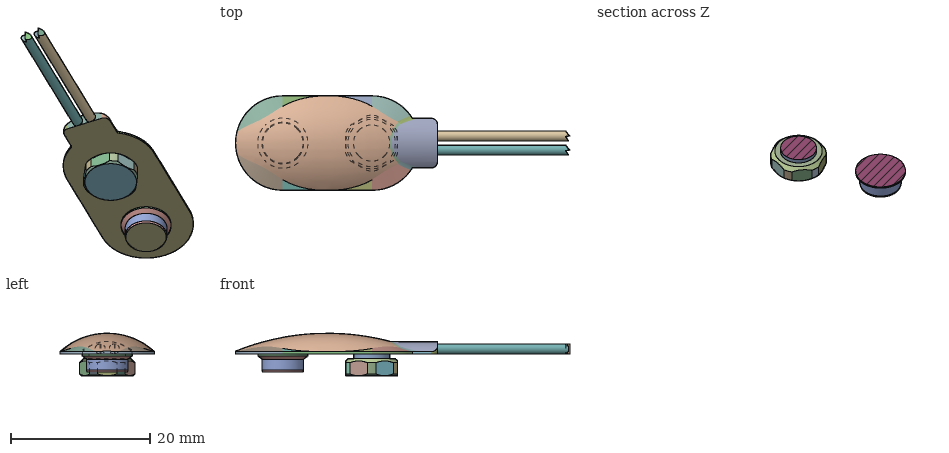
import cadquery as cq
import math

OVERALL_LENGTH = 48.01
OVERALL_HEIGHT = 6.15

PAD_WIDTH = 13.59
PAD_LENGTH = 26.4
END_RADIUS = PAD_WIDTH / 2
END_CENTER_X = PAD_LENGTH / 2 - END_RADIUS
RIM_HEIGHT = 0.33
SKIRT_SLOPE = 17.0
SKIRT_HEIGHT = 1.35
DOME_HEIGHT = 3.0
DOME_CROSS_RADIUS = 10.0
DOME_LENGTH_RADIUS = 35.0

BOOT_END_X = 15.8
BOOT_WIDTH = 7.14
BOOT_HEIGHT = 1.8
BOOT_CORNER_RADIUS = 0.9
BOOT_ROOT_START_X = 8.8
BOOT_BLEND_RADIUS = 1.2

WIRE_DIAMETER = 1.46
WIRE_PITCH = 2.02
WIRE_END_X = OVERALL_LENGTH - PAD_LENGTH / 2
WIRE_SHOULDER_DEPTH = 0.36
WIRE_NOTCH_DEPTH = 0.62
WIRE_NOTCH_OFFSET = 0.08
WIRE_LOWER_TIP_DEPTH = 0.2

PEG_DIAMETER = 6.0
PEG_BOTTOM_Z = -2.6
PEG_FLANGE_DIAMETER = 7.2
PEG_FLANGE_THICKNESS = 0.26
PEG_FLARE_BOTTOM_Z = -0.75
PEG_TIP_HEIGHT = 0.3
PEG_TIP_INSET = 0.1

NUT_CENTER_X = 6.34
NECK_DIAMETER = 5.2
NUT_TOP_Z = -0.65
NUT_BOTTOM_Z = DOME_HEIGHT - OVERALL_HEIGHT
NUT_FLATS = 7.47
NUT_DIAMETER = 8.0
NUT_TOP_CHAMFER = 0.6
NUT_BOTTOM_CHAMFER = 0.3


def stadium():
    return cq.Workplane("XY").slot2D(PAD_LENGTH, PAD_WIDTH)


def make_rim_and_skirt():
    rim = stadium().extrude(RIM_HEIGHT)
    skirt = stadium().extrude(SKIRT_HEIGHT - RIM_HEIGHT, taper=90 - SKIRT_SLOPE)
    return rim.union(skirt.translate((0, 0, RIM_HEIGHT)))


def make_dome():
    """Lens swept about a lengthwise axis below the pad, trimmed to the pad outline."""
    axis_z = DOME_HEIGHT - DOME_CROSS_RADIUS
    half_length = PAD_LENGTH / 2
    end_drop = DOME_LENGTH_RADIUS - math.sqrt(DOME_LENGTH_RADIUS**2 - half_length**2)
    end_z = DOME_HEIGHT - end_drop
    lens = (
        cq.Workplane("XZ")
        .moveTo(-half_length, axis_z)
        .lineTo(-half_length, end_z)
        .threePointArc((0, DOME_HEIGHT), (half_length, end_z))
        .lineTo(half_length, axis_z)
        .close()
        .revolve(360, (0, axis_z, 0), (1, axis_z, 0))
    )
    return lens.intersect(stadium().extrude(DOME_HEIGHT))


def make_boot():
    half_width = BOOT_WIDTH / 2
    arched_bar = (
        cq.Workplane("YZ")
        .moveTo(-half_width, 0)
        .lineTo(-half_width, RIM_HEIGHT)
        .threePointArc((0, BOOT_HEIGHT), (half_width, RIM_HEIGHT))
        .lineTo(half_width, 0)
        .close()
        .extrude(BOOT_END_X)
    )
    outline = (
        cq.Workplane("XY")
        .rect(2 * BOOT_END_X, BOOT_WIDTH)
        .extrude(BOOT_HEIGHT)
        .edges("|Z")
        .fillet(BOOT_CORNER_RADIUS)
    )
    return arched_bar.intersect(outline)


def make_wire(center_y):
    radius = WIRE_DIAMETER / 2
    blank = (
        cq.Workplane("YZ")
        .center(center_y, radius)
        .circle(radius)
        .extrude(WIRE_END_X)
    )
    ragged_end = (
        cq.Workplane("XY")
        .moveTo(0, radius)
        .lineTo(WIRE_END_X - WIRE_NOTCH_DEPTH, radius)
        .threePointArc((WIRE_END_X - WIRE_SHOULDER_DEPTH, radius / 2), (WIRE_END_X, 0))
        .lineTo(WIRE_END_X - WIRE_NOTCH_DEPTH, -WIRE_NOTCH_OFFSET)
        .lineTo(WIRE_END_X - WIRE_LOWER_TIP_DEPTH, -radius)
        .lineTo(0, -radius)
        .close()
        .extrude(WIRE_DIAMETER)
        .translate((0, center_y, 0))
    )
    return blank.intersect(ragged_end)


def make_peg():
    radius = PEG_DIAMETER / 2
    flange_radius = PEG_FLANGE_DIAMETER / 2
    profile = (
        cq.Workplane("XZ")
        .moveTo(0, RIM_HEIGHT)
        .lineTo(flange_radius, RIM_HEIGHT)
        .lineTo(flange_radius, -PEG_FLANGE_THICKNESS)
        .lineTo(radius, PEG_FLARE_BOTTOM_Z)
        .lineTo(radius, PEG_BOTTOM_Z + PEG_TIP_HEIGHT)
        .lineTo(radius - PEG_TIP_INSET, PEG_BOTTOM_Z)
        .lineTo(0, PEG_BOTTOM_Z)
        .close()
    )
    return profile.revolve().translate((-END_CENTER_X, 0, 0))


def make_nut():
    height = NUT_TOP_Z - NUT_BOTTOM_Z
    hexagon = (
        cq.Workplane("XY")
        .polygon(6, NUT_FLATS, circumscribed=True)
        .extrude(height)
    )
    turned = (
        cq.Workplane("XY")
        .circle(NUT_DIAMETER / 2)
        .extrude(height)
        .faces(">Z")
        .chamfer(NUT_TOP_CHAMFER)
        .faces("<Z")
        .chamfer(NUT_BOTTOM_CHAMFER)
    )
    neck = cq.Workplane("XY").circle(NECK_DIAMETER / 2).extrude(height - NUT_TOP_Z + RIM_HEIGHT)
    return hexagon.intersect(turned).union(neck).translate((NUT_CENTER_X, 0, NUT_BOTTOM_Z))


def blend_boot(body):
    """Round the concave corner where the boot runs into the dome and skirt."""
    boot_root = cq.selectors.BoxSelector(
        (BOOT_ROOT_START_X, -BOOT_WIDTH / 2, RIM_HEIGHT),
        (PAD_LENGTH / 2, BOOT_WIDTH / 2, BOOT_HEIGHT),
    )
    return body.edges(boot_root).fillet(BOOT_BLEND_RADIUS)


pad = make_rim_and_skirt().union(make_dome())
result = blend_boot(pad.union(make_boot()))
for side in (-1, 1):
    result = result.union(make_wire(side * WIRE_PITCH / 2))
result = result.union(make_peg()).union(make_nut())